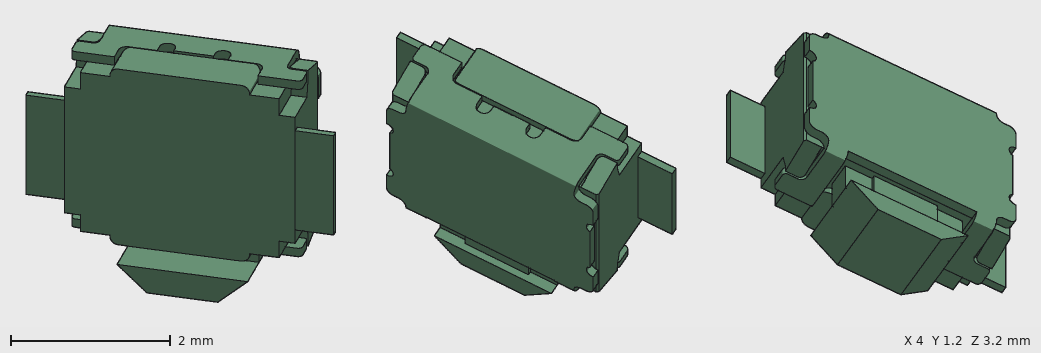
import cadquery as cq

WIDTH = 3.0
HEIGHT = 2.5
DEPTH = 1.2
SHEET = 0.12
HALF_WIDTH = WIDTH / 2
HALF_HEIGHT = HEIGHT / 2

BASE_DEPTH = DEPTH - SHEET
BASE_HALF_HEIGHT = HALF_HEIGHT - SHEET
BASE_CHAMFER = 0.03
BOSS_HALF_WIDTH = 0.91
BOSS_DEPTH = 0.59
BOSS_FILLET = 0.11
SHOULDER_WIDTH = 0.25
SHOULDER_START = 0.605
SHOULDER_FILLET = 0.08
POCKET_WIDTH = 0.21
POCKET_HALF_HEIGHT = 0.895
POCKET_DEPTH = 0.55

BEND_RADIUS = 0.15
NECK_HALF_WIDTH = 1.22
FLANGE_FRONT = 0.3
WING_BACK = 0.58
WING_FRONT_FILLET = 0.06
WING_BACK_FILLET = 0.05
WING_ROOT_FILLET = 0.08
NOTCH_HALF_WIDTH = 0.93
NOTCH_DEPTH = SHOULDER_START
NOTCH_FILLET = 0.11
EAR_HALF_HEIGHT = 1.0
EAR_FILLET = 0.11

RELIEF_RADIUS = 0.1
RELIEF_STEP = 0.05
FLANGE_RELIEF_OFFSET = 0.36
FLANGE_RELIEF_DEPTH = 0.12
SIDE_RELIEF_OFFSET = 0.5

TERMINAL_LENGTH = 0.5
TERMINAL_HEIGHT = 1.41
TERMINAL_THICKNESS = 0.095

ACTUATOR_WIDTH = 1.7
ACTUATOR_REACH = 0.7
HEAD_HEIGHT = ACTUATOR_REACH / 2
HEAD_TIP_WIDTH = 0.92
HEAD_FRONT = 0.125
HEAD_DEPTH = 1.0
STEM_FRONT = 0.65
STEM_DEPTH = 0.33
STEM_PAD_WIDTH = HEAD_TIP_WIDTH
STEM_PAD_THICKNESS = 0.05
HEAD_BOTTOM = -HALF_HEIGHT - ACTUATOR_REACH
HEAD_TOP = HEAD_BOTTOM + HEAD_HEIGHT

SIDES = (-1, 1)
SEARCH_MARGIN = 0.04


def centred_block(width, height, y_start, y_end):
    """Block centred on X and Z that spans the given depths."""
    return cq.Workplane("XY").box(width, y_end - y_start, height).translate((0, (y_start + y_end) / 2, 0))


def corner_prism(outline, width):
    """Prism of a Y-Z outline, inward from the -X side face of the base."""
    return cq.Workplane("YZ", origin=(-HALF_WIDTH, 0, 0)).polyline(outline).close().extrude(width)


def at_four_corners(shape):
    """A shape made at the -X, +Z corner and its three mirror images."""
    left = [shape, shape.mirror("XY")]
    return left + [corner.mirror("YZ") for corner in left]


def make_shoulder():
    """Shoulder beside the neck of a cover flange, sloping down towards the back."""
    outline = [
        (SHOULDER_START, 0),
        (BASE_DEPTH, 0),
        (BASE_DEPTH, BASE_HALF_HEIGHT),
        (SHOULDER_START, HALF_HEIGHT),
    ]
    return corner_prism(outline, SHOULDER_WIDTH).edges("|Z and <Y and >X").fillet(SHOULDER_FILLET)


def make_pocket():
    """Open pocket with a slanted end in a front corner of the base."""
    outline = [
        (0, POCKET_HALF_HEIGHT),
        (POCKET_DEPTH, POCKET_HALF_HEIGHT),
        (SHOULDER_START, BASE_HALF_HEIGHT),
        (0, BASE_HALF_HEIGHT),
    ]
    return corner_prism(outline, POCKET_WIDTH)


def make_boss():
    """Boss at the front of the base, rounded along its depth and at its back corners."""
    boss = centred_block(2 * BOSS_HALF_WIDTH, HEIGHT, 0, BOSS_DEPTH)
    return boss.edges("|Y").fillet(BOSS_FILLET).intersect(boss.edges("|Z and >Y").fillet(BOSS_FILLET))


def make_base():
    base = centred_block(WIDTH, 2 * BASE_HALF_HEIGHT, 0, BASE_DEPTH)
    for shoulder in at_four_corners(make_shoulder()):
        base = base.union(shoulder)
    base = base.edges("|Z and >Y").chamfer(BASE_CHAMFER)
    base = base.union(make_boss())
    for pocket in at_four_corners(make_pocket()):
        base = base.cut(pocket)
    return base


def make_back_plate():
    """Back of the cover: a plate with rounded ears beside a neck that bends into the flanges."""
    ears = centred_block(WIDTH, 2 * EAR_HALF_HEIGHT, BASE_DEPTH, DEPTH).edges("|Y").fillet(EAR_FILLET)
    neck = centred_block(2 * NECK_HALF_WIDTH, HEIGHT, BASE_DEPTH, DEPTH)
    roots = cq.selectors.BoxSelector(
        (-NECK_HALF_WIDTH - SEARCH_MARGIN, 0, -EAR_HALF_HEIGHT - SEARCH_MARGIN),
        (NECK_HALF_WIDTH + SEARCH_MARGIN, DEPTH + SEARCH_MARGIN, EAR_HALF_HEIGHT + SEARCH_MARGIN),
    )
    return ears.union(neck).edges("|Y").edges(roots).fillet(EAR_FILLET)


def make_flanges():
    """Top and bottom flanges of the cover, each a neck with a rounded wing at either end."""
    wings = centred_block(WIDTH, HEIGHT, FLANGE_FRONT, WING_BACK)
    wings = wings.edges("|Z and <Y").fillet(WING_FRONT_FILLET)
    wings = wings.edges("|Z and >Y").fillet(WING_BACK_FILLET)
    neck = centred_block(2 * NECK_HALF_WIDTH, HEIGHT, FLANGE_FRONT, DEPTH)
    roots = cq.selectors.BoxSelector(
        (-NECK_HALF_WIDTH - SEARCH_MARGIN, WING_BACK - SEARCH_MARGIN, -HEIGHT),
        (NECK_HALF_WIDTH + SEARCH_MARGIN, WING_BACK + SEARCH_MARGIN, HEIGHT),
    )
    flanges = wings.union(neck).edges("|Z").edges(roots).fillet(WING_ROOT_FILLET)
    return flanges.cut(centred_block(WIDTH, 2 * BASE_HALF_HEIGHT, 0, BASE_DEPTH))


def relief_pair(offset):
    """Cutter for two half-round reliefs in an edge at Y = 0, with the edge between them set back."""
    centres = [(side * offset, 0) for side in SIDES]
    rounds = cq.Workplane("XY", origin=(0, 0, -SHEET / 2)).pushPoints(centres)
    setback = cq.Workplane("XY").box(2 * offset, 2 * RELIEF_STEP, SHEET)
    return setback.union(rounds.circle(RELIEF_RADIUS).extrude(SHEET))


def deep_relief_pair(offset, depth):
    """Cutter like relief_pair, with straight sides that carry the round ends deeper along +Y."""
    slots = cq.Workplane("XY", origin=(0, 0, -SHEET / 2))
    slots = slots.pushPoints([(side * offset, 0) for side in SIDES])
    slot_length = 2 * (depth + RELIEF_RADIUS)
    return relief_pair(offset).union(slots.slot2D(slot_length, 2 * RELIEF_RADIUS, 90).extrude(SHEET))


def make_cover():
    cover = make_back_plate().union(make_flanges())
    cover = cover.edges("|X and >Y and (>Z or <Z)").fillet(BEND_RADIUS)

    notch = centred_block(2 * NOTCH_HALF_WIDTH, HEIGHT, 0, NOTCH_DEPTH)
    notch = notch.edges("|Z and >Y").fillet(NOTCH_FILLET)
    sheet_middle = HALF_HEIGHT - SHEET / 2
    flange_reliefs = deep_relief_pair(FLANGE_RELIEF_OFFSET, FLANGE_RELIEF_DEPTH)
    flange_reliefs = flange_reliefs.translate((0, NOTCH_DEPTH, sheet_middle))
    cover = cover.cut(notch).cut(flange_reliefs)

    passage = cq.Workplane("XY").box(2 * NOTCH_HALF_WIDTH, DEPTH, SHEET, centered=(True, False, True))
    cover = cover.cut(passage.translate((0, 0, -sheet_middle)))

    side_reliefs = relief_pair(SIDE_RELIEF_OFFSET).rotate((0, 0, 0), (1, 0, 0), 90)
    side_reliefs = side_reliefs.rotate((0, 0, 0), (0, 1, 0), 90)
    for side in SIDES:
        cover = cover.cut(side_reliefs.translate((side * HALF_WIDTH, DEPTH - SHEET / 2, 0)))
    return cover


def make_terminal(side):
    """Flat terminal that stands out from one side face of the base."""
    terminal = cq.Workplane("XY").box(TERMINAL_LENGTH, TERMINAL_THICKNESS, TERMINAL_HEIGHT)
    return terminal.translate((side * (HALF_WIDTH + TERMINAL_LENGTH / 2), TERMINAL_THICKNESS / 2, 0))


def make_actuator():
    """Push button with a tapered head, on a stem that reaches the base through the cover passage."""
    head_outline = [
        (-ACTUATOR_WIDTH / 2, HEAD_TOP),
        (ACTUATOR_WIDTH / 2, HEAD_TOP),
        (HEAD_TIP_WIDTH / 2, HEAD_BOTTOM),
        (-HEAD_TIP_WIDTH / 2, HEAD_BOTTOM),
    ]
    head_plane = cq.Workplane("XZ", origin=(0, HEAD_FRONT, 0))
    head = head_plane.polyline(head_outline).close().extrude(-HEAD_DEPTH)

    stem_length = -BASE_HALF_HEIGHT - HEAD_TOP
    stem_plane = cq.Workplane("XY", origin=(0, STEM_FRONT, HEAD_TOP))
    stem = stem_plane.box(ACTUATOR_WIDTH, STEM_DEPTH, stem_length, centered=(True, False, False))
    pad_depth = STEM_DEPTH + STEM_PAD_THICKNESS
    pad = stem_plane.box(STEM_PAD_WIDTH, pad_depth, stem_length, centered=(True, False, False))
    return head.union(stem).union(pad)


base = make_base()
cover = make_cover()
terminals = [make_terminal(side) for side in SIDES]
actuator = make_actuator()

result = cq.Compound.makeCompound(
    [
        base.solids().val(),
        cover.solids().val(),
        *[terminal.val() for terminal in terminals],
        actuator.solids().val(),
    ]
)